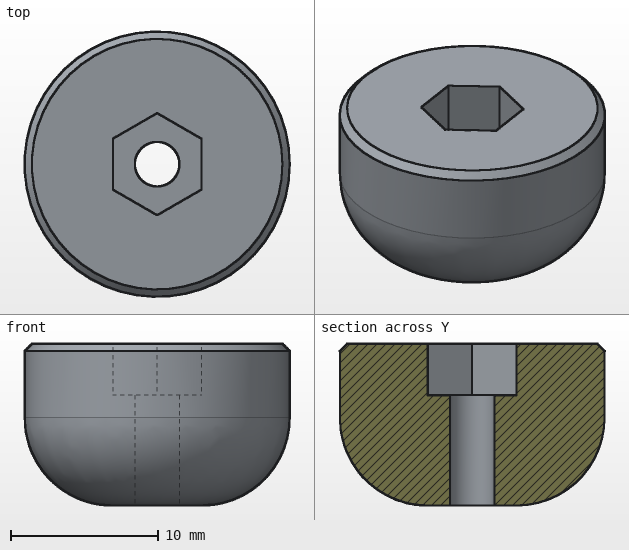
import cadquery as cq
import math

body_diameter = 18.0
body_height = 11.0
bottom_radius = 6.0
top_chamfer = 0.5
socket_across_flats = 6.0
socket_depth = 3.5
bore_diameter = 3.0


def make_body():
    """Upright cylinder with a rounded bottom edge and a chamfered top edge."""
    body = cq.Workplane("XY").circle(body_diameter / 2).extrude(body_height)
    body = body.faces("<Z").edges().fillet(bottom_radius)
    return body.faces(">Z").edges().chamfer(top_chamfer)


def make_socket():
    """Hexagonal prism open at the top, with two flats facing +X and -X."""
    across_corners = socket_across_flats / math.cos(math.radians(30))
    return (
        cq.Workplane("XY")
        .workplane(offset=body_height - socket_depth)
        .polygon(6, across_corners)
        .extrude(socket_depth)
        .rotate((0, 0, 0), (0, 0, 1), 30)
    )


def make_bore():
    """Central hole through the full height."""
    return cq.Workplane("XY").circle(bore_diameter / 2).extrude(body_height)


result = make_body().cut(make_socket()).cut(make_bore())